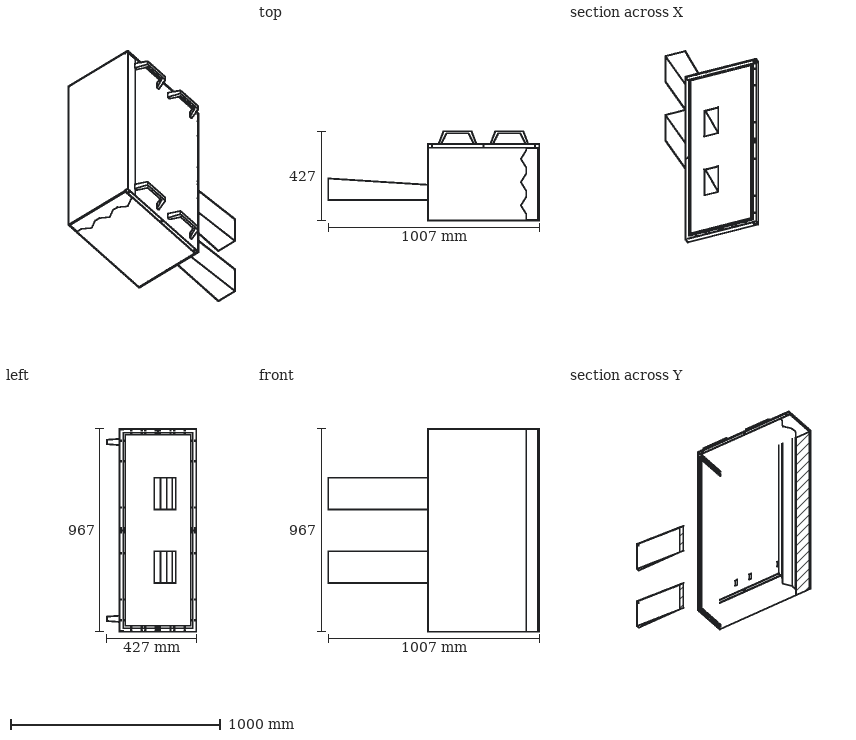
import cadquery as cq

CABINET_LENGTH = 533.0
CABINET_DEPTH = 367.0
CABINET_HEIGHT = 967.0
SHEET = 1.5

DUCT_LENGTH = 474.0
DUCT_HEIGHT = 153.0
DUCT_FRONT_Y = 98.0
DUCT_MOUTH_DEPTH = 104.0
DUCT_THROAT_DEPTH = 74.0
DUCT_SPACING = 350.0

HANDLE_REACH = 60.0
HANDLE_BASE_SPAN = 180.0
HANDLE_GRIP_SPAN = 134.0
HANDLE_FOOT_SPAN = 13.0
HANDLE_GRIP_DEPTH = 11.0
HANDLE_INNER_GRIP_SPAN = 104.0
HANDLE_FOOT_HEIGHT = 31.0
HANDLE_GRIP_HEIGHT = 22.0
HANDLE_END_MARGIN = 62.0
HANDLE_CENTER_MARGIN = 143.0

LINING_THICKNESS = 54.0
LINING_GAP = 8.0
LINING_SIDE_GAP = 4.0
RIDGE_HEIGHT = 26.0
RIDGE_WIDTH = 84.0
RIDGE_PITCH = 111.0
RIDGE_COUNT = 3

FRAME_THICKNESS = 3.0
FRAME_WIDTH = 28.0
FRAME_INNER_BAND = 10.0
FRAME_GROOVE_WIDTH = 0.5
BAR_GAP = 3.0
SCREW_HOLE_DIAMETER = 4.0
SCREW_ROW_INSETS = (7.0, 21.0)
LONG_BAR_SCREWS = (10.0, 109.0, 329.0, 428.0)
SHORT_BAR_SCREWS = (10.0, 60.0, 78.0, 128.0)

BACK_BAR_WIDTH = 19.0
BACK_BAR_END_MARGIN = 21.0
BACK_BAR_CLEARANCE = 2.0

MID_Y = CABINET_DEPTH / 2
MID_Z = CABINET_HEIGHT / 2
DUCT_CENTERS_Z = (MID_Z - DUCT_SPACING / 2, MID_Z + DUCT_SPACING / 2)
INSIDE_HEIGHT = CABINET_HEIGHT - 2 * SHEET
BACK_BAR_BOTTOMS = (SHEET, CABINET_HEIGHT - SHEET - FRAME_THICKNESS)


def block(x0, y0, z0, x1, y1, z1):
    """Box between two opposite corners."""
    return cq.Workplane("XY").box(x1 - x0, y1 - y0, z1 - z0, centered=False).translate((x0, y0, z0))


def frame_ring(x0, thickness, margin, width):
    """Rectangular ring parallel to the -X wall, inset by margin from the cabinet outline."""
    def plate(inset):
        return block(x0, inset, inset, x0 + thickness, CABINET_DEPTH - inset, CABINET_HEIGHT - inset)
    return plate(margin).cut(plate(margin + width))


def make_cabinet():
    outside = block(0, 0, 0, CABINET_LENGTH, CABINET_DEPTH, CABINET_HEIGHT)
    inside = block(
        SHEET, SHEET, SHEET,
        CABINET_LENGTH - SHEET, CABINET_DEPTH - SHEET, CABINET_HEIGHT - SHEET,
    )
    return outside.cut(inside)


def duct_prism(center_z, wall_offset, end_x):
    """Tapered duct volume, shrunk on all four sides by wall_offset and ending at end_x."""
    front_y = DUCT_FRONT_Y + wall_offset
    height = DUCT_HEIGHT - 2 * wall_offset
    throat_y = DUCT_FRONT_Y + DUCT_THROAT_DEPTH - wall_offset
    outline = [
        (-DUCT_LENGTH, front_y),
        (end_x, front_y),
        (end_x, throat_y),
        (0, throat_y),
        (-DUCT_LENGTH, DUCT_FRONT_Y + DUCT_MOUTH_DEPTH - wall_offset),
    ]
    return (
        cq.Workplane("XY").workplane(offset=center_z - height / 2)
        .polyline(outline).close().extrude(height)
    )


def make_handle(center_x, center_z):
    """Trapezoidal bow in plan, its height tapering from the wall to the grip."""
    wall_y = CABINET_DEPTH - SHEET / 2
    grip_y = CABINET_DEPTH + HANDLE_REACH
    inner_y = grip_y - HANDLE_GRIP_DEPTH
    inner_base_span = HANDLE_BASE_SPAN - 2 * HANDLE_FOOT_SPAN
    bow = (
        cq.Workplane("XY").workplane(offset=center_z - HANDLE_FOOT_HEIGHT / 2)
        .polyline([
            (center_x - HANDLE_BASE_SPAN / 2, wall_y),
            (center_x - HANDLE_GRIP_SPAN / 2, grip_y),
            (center_x + HANDLE_GRIP_SPAN / 2, grip_y),
            (center_x + HANDLE_BASE_SPAN / 2, wall_y),
            (center_x + inner_base_span / 2, wall_y),
            (center_x + HANDLE_INNER_GRIP_SPAN / 2, inner_y),
            (center_x - HANDLE_INNER_GRIP_SPAN / 2, inner_y),
            (center_x - inner_base_span / 2, wall_y),
        ]).close().extrude(HANDLE_FOOT_HEIGHT)
    )
    taper = (
        cq.Workplane("YZ").workplane(offset=center_x - HANDLE_BASE_SPAN / 2)
        .polyline([
            (wall_y, center_z - HANDLE_FOOT_HEIGHT / 2),
            (grip_y, center_z - HANDLE_GRIP_HEIGHT / 2),
            (grip_y, center_z + HANDLE_GRIP_HEIGHT / 2),
            (wall_y, center_z + HANDLE_FOOT_HEIGHT / 2),
        ]).close().extrude(HANDLE_BASE_SPAN)
    )
    return bow.intersect(taper)


def make_lining():
    back_x = CABINET_LENGTH - LINING_GAP
    valley_x = back_x - LINING_THICKNESS
    front_y = LINING_SIDE_GAP
    rear_y = CABINET_DEPTH - LINING_SIDE_GAP
    outline = [(back_x, front_y), (valley_x, front_y)]
    for index in range(RIDGE_COUNT):
        ridge_y = MID_Y + (index - (RIDGE_COUNT - 1) / 2) * RIDGE_PITCH
        outline += [
            (valley_x, ridge_y - RIDGE_WIDTH / 2),
            (valley_x - RIDGE_HEIGHT, ridge_y),
            (valley_x, ridge_y + RIDGE_WIDTH / 2),
        ]
    outline += [(valley_x, rear_y), (back_x, rear_y)]
    return (
        cq.Workplane("XY").workplane(offset=SHEET)
        .polyline(outline).close().extrude(INSIDE_HEIGHT)
    )


def screw_points():
    """(Y, Z) centres of the screw holes on all four sides of the frame."""
    points = []
    for inset in SCREW_ROW_INSETS:
        for side in (-1, 1):
            for half in (-1, 1):
                for distance in LONG_BAR_SCREWS:
                    points.append((MID_Y + side * (MID_Y - inset), MID_Z + half * distance))
                for distance in SHORT_BAR_SCREWS:
                    points.append((MID_Y + half * distance, MID_Z + side * (MID_Z - inset)))
    return points


def make_end_frame():
    end_x = SHEET + FRAME_THICKNESS
    frame = frame_ring(SHEET, FRAME_THICKNESS, SHEET, FRAME_WIDTH - SHEET)
    groove_inset = FRAME_WIDTH - FRAME_INNER_BAND - FRAME_GROOVE_WIDTH
    frame = frame.cut(frame_ring(SHEET, FRAME_THICKNESS, groove_inset, FRAME_GROOVE_WIDTH))
    half_gap = BAR_GAP / 2
    frame = frame.cut(block(SHEET, SHEET, MID_Z - half_gap, end_x, CABINET_DEPTH, MID_Z + half_gap))
    frame = frame.cut(block(SHEET, MID_Y - half_gap, SHEET, end_x, MID_Y + half_gap, CABINET_HEIGHT))
    holes = (
        cq.Workplane("YZ").workplane(offset=SHEET)
        .pushPoints(screw_points()).circle(SCREW_HOLE_DIAMETER / 2).extrude(FRAME_THICKNESS)
    )
    return frame.cut(holes)


def back_bar_zone(start_x, end_x, bottom_z, clearance):
    """Space of one back bar, widened by clearance in front of it and above and below it."""
    return block(
        start_x, CABINET_DEPTH - BACK_BAR_WIDTH - clearance, bottom_z - clearance,
        end_x, CABINET_DEPTH - SHEET, bottom_z + FRAME_THICKNESS + clearance,
    )


def make_back_bars():
    """Rows of bars with gaps between them, one inside the bottom wall and one inside the top wall."""
    half_gap = BAR_GAP / 2
    gap_centers = (BACK_BAR_END_MARGIN, CABINET_LENGTH / 2, CABINET_LENGTH - BACK_BAR_END_MARGIN)
    starts = [SHEET] + [x + half_gap for x in gap_centers]
    ends = [x - half_gap for x in gap_centers] + [CABINET_LENGTH - SHEET]
    return [
        back_bar_zone(start_x, end_x, bottom_z, 0)
        for bottom_z in BACK_BAR_BOTTOMS
        for start_x, end_x in zip(starts, ends)
    ]


lining = make_lining()
for bar_z in BACK_BAR_BOTTOMS:
    lining = lining.cut(back_bar_zone(0, CABINET_LENGTH, bar_z, BACK_BAR_CLEARANCE))

result = make_cabinet().union(lining).union(make_end_frame())
for bar in make_back_bars():
    result = result.union(bar)
for duct_z in DUCT_CENTERS_Z:
    result = result.union(duct_prism(duct_z, 0, SHEET))
    result = result.cut(duct_prism(duct_z, SHEET, SHEET))
for handle_x in (HANDLE_CENTER_MARGIN, CABINET_LENGTH - HANDLE_CENTER_MARGIN):
    for handle_z in (HANDLE_END_MARGIN, CABINET_HEIGHT - HANDLE_END_MARGIN):
        result = result.union(make_handle(handle_x, handle_z))